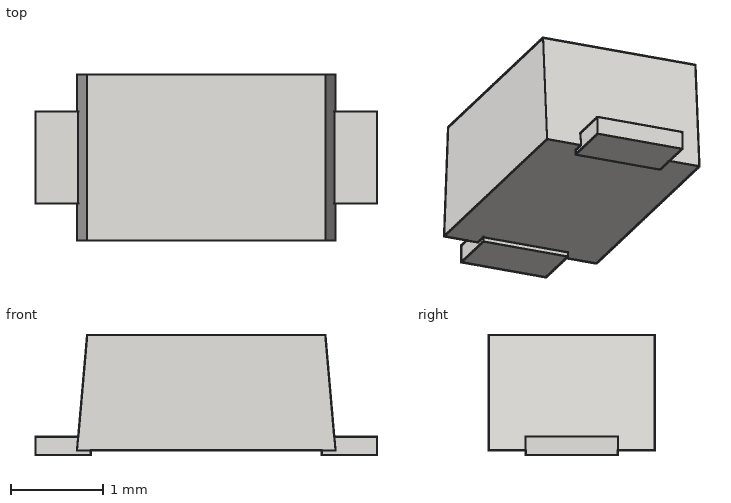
import cadquery as cq
import math

housing_base_length = 2.8
housing_width = 1.8
housing_height = 1.25
end_draft_angle = 5.0
housing_top_length = housing_base_length - 2 * housing_height * math.tan(math.radians(end_draft_angle))

overall_length = 3.7
lead_length = 0.6
lead_width = 1.0
lead_thickness = 0.2
standoff = 0.05


def make_lead(side):
    """Flat lead at one end of the part; side is -1 or +1 along X."""
    center_x = side * (overall_length - lead_length) / 2
    return (
        cq.Workplane("XY")
        .box(lead_length, lead_width, lead_thickness, centered=(True, True, False))
        .translate((center_x, 0, 0))
    )


def make_housing(leads):
    """Tapered block with a matching recess for each lead."""
    base_z = standoff
    top_z = standoff + housing_height
    block = (
        cq.Workplane("XZ")
        .polyline([
            (-housing_base_length / 2, base_z),
            (housing_base_length / 2, base_z),
            (housing_top_length / 2, top_z),
            (-housing_top_length / 2, top_z),
        ])
        .close()
        .extrude(housing_width / 2, both=True)
    )
    for lead in leads:
        block = block.cut(lead)
    return block


leads = [make_lead(side) for side in (-1, 1)]
housing = make_housing(leads)

result = cq.Compound.makeCompound([housing.val(), *[lead.val() for lead in leads]])